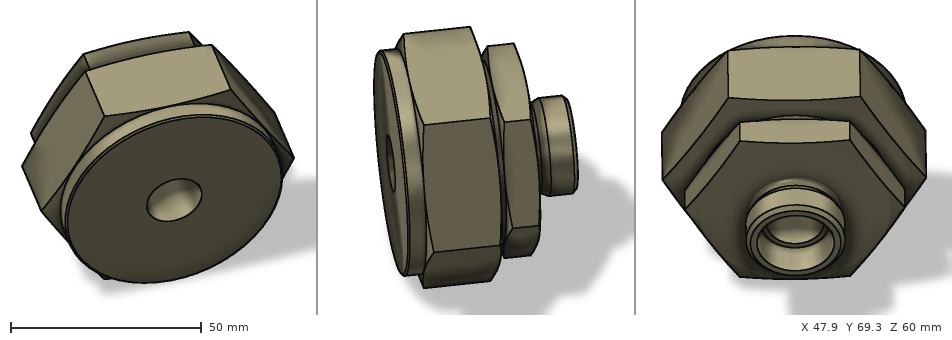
import cadquery as cq
import math


HEX_FLATS_TO_CORNERS = math.cos(math.pi / 6)
LARGE_HEX_CORNERS = 69.3
LARGE_HEX_FLATS = LARGE_HEX_CORNERS * HEX_FLATS_TO_CORNERS
SMALL_HEX_FLATS = 50.0
HEX_CHAMFER_ANGLE = 15.0

STUB_CREST_END = 7.35
GROOVE_START = 9.55
SMALL_HEX_START = 12.0
SMALL_HEX_END = 21.0
LARGE_HEX_START = 22.9
LARGE_HEX_END = 43.0
TOTAL_LENGTH = 47.9

STUB_DIAMETER = 26.0
STUB_CHAMFER = 1.1
GROOVE_DIAMETER = 23.7
GROOVE_FILLET = 1.05
NECK_DIAMETER = 49.0
COLLAR_DIAMETER = 59.6
COLLAR_CHAMFER = 0.5

BORE_DIAMETER = 15.0
SOCKET_DIAMETER = 18.0
SOCKET_DEPTH = 7.5
CONE_MOUTH_DIAMETER = 20.3
CONE_HALF_ANGLE = 12.0


def cylinder(diameter, start, end):
    """Cylinder about the X axis between two stations."""
    return cq.Workplane("YZ").workplane(offset=start).circle(diameter / 2).extrude(end - start)


def revolve_about_x(profile):
    """Solid of revolution from a profile whose height is the radius."""
    return profile.close().revolve(360, (0, 0, 0), (1, 0, 0))


def hexagon(flats, start, end):
    """Hexagonal prism whose corners are turned back conically at both ends."""
    corners = flats / HEX_FLATS_TO_CORNERS
    prism = cq.Workplane("YZ").workplane(offset=start).polygon(6, corners).extrude(end - start)
    face_radius = flats / 2
    envelope_radius = corners
    cone_length = (envelope_radius - face_radius) * math.tan(math.radians(HEX_CHAMFER_ANGLE))
    envelope = revolve_about_x(
        cq.Workplane("XY")
        .moveTo(start, 0)
        .lineTo(start, face_radius)
        .lineTo(start + cone_length, envelope_radius)
        .lineTo(end - cone_length, envelope_radius)
        .lineTo(end, face_radius)
        .lineTo(end, 0)
    )
    return prism.intersect(envelope)


def stub():
    """Chamfered stub with a relief groove filleted into the small hexagon."""
    crest_radius = STUB_DIAMETER / 2
    groove_radius = GROOVE_DIAMETER / 2
    return revolve_about_x(
        cq.Workplane("XY")
        .lineTo(0, crest_radius - STUB_CHAMFER)
        .lineTo(STUB_CHAMFER, crest_radius)
        .lineTo(STUB_CREST_END, crest_radius)
        .lineTo(GROOVE_START, groove_radius)
        .lineTo(SMALL_HEX_START - GROOVE_FILLET, groove_radius)
        .radiusArc((SMALL_HEX_START, groove_radius + GROOVE_FILLET), -GROOVE_FILLET)
        .lineTo(SMALL_HEX_START, 0)
    )


def collar():
    """Round collar behind the large hexagon, chamfered on its outer end."""
    return cylinder(COLLAR_DIAMETER, LARGE_HEX_END, TOTAL_LENGTH).faces(">X").chamfer(COLLAR_CHAMFER)


def tube_passage():
    """Conical mouth, cylindrical tube socket and narrower through bore."""
    mouth_radius = CONE_MOUTH_DIAMETER / 2
    socket_radius = SOCKET_DIAMETER / 2
    bore_radius = BORE_DIAMETER / 2
    cone_depth = (mouth_radius - socket_radius) / math.tan(math.radians(CONE_HALF_ANGLE))
    return revolve_about_x(
        cq.Workplane("XY")
        .lineTo(0, mouth_radius)
        .lineTo(cone_depth, socket_radius)
        .lineTo(SOCKET_DEPTH, socket_radius)
        .lineTo(SOCKET_DEPTH, bore_radius)
        .lineTo(TOTAL_LENGTH, bore_radius)
        .lineTo(TOTAL_LENGTH, 0)
    )


body = (
    stub()
    .union(hexagon(SMALL_HEX_FLATS, SMALL_HEX_START, SMALL_HEX_END))
    .union(cylinder(NECK_DIAMETER, SMALL_HEX_END, LARGE_HEX_START))
    .union(hexagon(LARGE_HEX_FLATS, LARGE_HEX_START, LARGE_HEX_END))
    .union(collar())
)

result = body.cut(tube_passage())